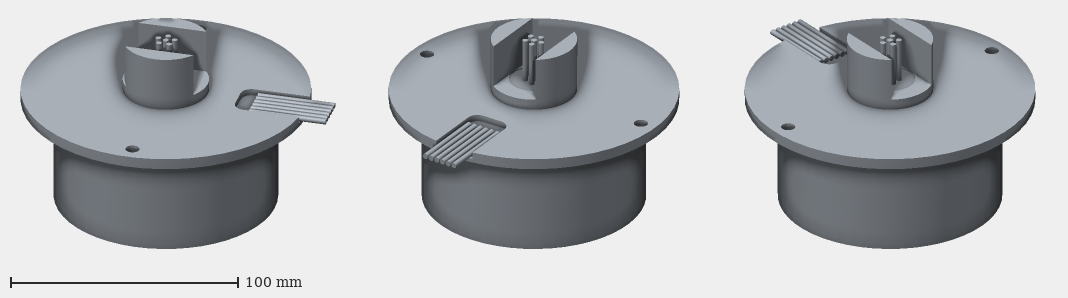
import cadquery as cq
import math

overall_length = 139

flange_diameter = 128.0
flange_thickness = 5.0
mount_hole_diameter = 6.3
mount_hole_radius = 56.6

drum_diameter = 99.0
drum_height = 48.2

hub_diameter = 38.1
hub_height = 25.0
slot_width = 22.1
slot_floor_height = 5.0
recess_depth = 0.5

pin_diameter = 2.5
pin_length = 20.0
ring_pin_count = 5
pin_ring_radius = 3.9

pocket_start_x = 32.8
pocket_width = 19.2
pocket_depth = 3.0
pocket_corner_radius = 5.0

wire_count = 6
wire_diameter = 2.5
wire_start_x = 40.0
wire_end_x = overall_length - flange_diameter / 2
wire_gap = 0.5
wire_pitch = wire_diameter + wire_gap


def disc(diameter, height, bottom_z):
    return cq.Workplane("XY").workplane(offset=bottom_z).circle(diameter / 2).extrude(height)


def make_hub():
    hub = disc(hub_diameter, hub_height, 0)
    slot = (
        cq.Workplane("XY")
        .workplane(offset=slot_floor_height)
        .rect(hub_diameter, slot_width)
        .extrude(hub_height - slot_floor_height)
    )
    recess = disc(slot_width, recess_depth, slot_floor_height - recess_depth)
    return hub.cut(slot).cut(recess)


def make_contact_pins():
    ring_step = 360 / ring_pin_count
    centres = [(0, 0)]
    for index in range(ring_pin_count):
        angle = math.radians(90 + index * ring_step)
        centres.append((pin_ring_radius * math.cos(angle), pin_ring_radius * math.sin(angle)))
    return (
        cq.Workplane("XY")
        .workplane(offset=slot_floor_height - recess_depth)
        .pushPoints(centres)
        .circle(pin_diameter / 2)
        .extrude(pin_length)
    )


def make_wire_pocket():
    pocket_length = flange_diameter / 2 - pocket_start_x
    return (
        cq.Workplane("XY")
        .box(pocket_length, pocket_width, pocket_depth, centered=(False, True, False))
        .edges("|Z and <X")
        .fillet(pocket_corner_radius)
        .translate((pocket_start_x, 0, -pocket_depth))
    )


def make_housing():
    flange = disc(flange_diameter, flange_thickness, -flange_thickness)
    mount_holes = (
        cq.Workplane("XY")
        .pushPoints([(0, mount_hole_radius), (0, -mount_hole_radius)])
        .circle(mount_hole_diameter / 2)
        .extrude(-flange_thickness)
    )
    flange = flange.cut(mount_holes).cut(make_wire_pocket())
    drum = disc(drum_diameter, drum_height, -flange_thickness - drum_height)
    return flange.union(drum).union(make_hub()).union(make_contact_pins())


def make_wire(centre_y):
    centre_z = -pocket_depth + wire_diameter / 2
    return (
        cq.Workplane("YZ", origin=(wire_start_x, centre_y, centre_z))
        .circle(wire_diameter / 2)
        .extrude(wire_end_x - wire_start_x)
    )


housing = make_housing()
wires = [make_wire((index - (wire_count - 1) / 2) * wire_pitch) for index in range(wire_count)]

result = cq.Compound.makeCompound([housing.val(), *[wire.val() for wire in wires]])